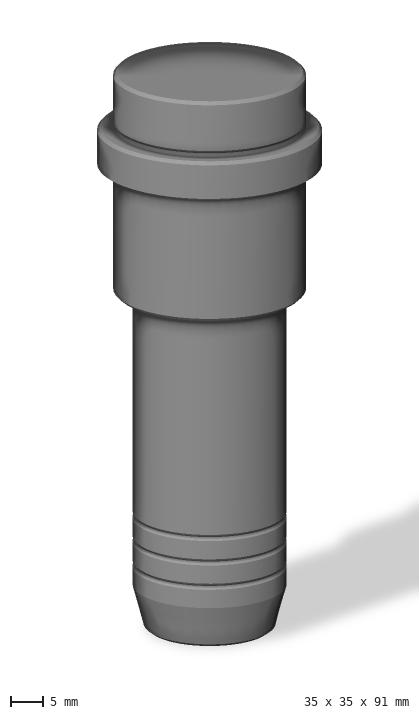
import cadquery as cq
import math

total_height = 91.0
collar_diameter = 35.0
collar_radius = collar_diameter / 2
body_radius = 15.0
shank_radius = 12.0
neck_radius = 11.5

collar_top = 82.0
collar_bottom = 76.0
body_bottom = 55.0
shank_top = 54.1
taper_top = 7.0

edge_chamfer = 0.5
groove_width = 1.0
groove_depth = 0.5
shank_groove_tops = (19.0, 15.0, 11.0)
tip_taper_angle = 15.0


def cylinder(radius, bottom, top):
    """Vertical cylinder between two heights."""
    return cq.Workplane("XY").workplane(offset=bottom).circle(radius).extrude(top - bottom)


def v_groove(radius, top):
    """Ring with a V section that cuts into a cylinder of the given radius."""
    middle = top - groove_width / 2
    profile = [
        (radius, top),
        (radius - groove_depth, middle),
        (radius, top - groove_width),
    ]
    return cq.Workplane("XZ").polyline(profile).close().revolve(360, (0, 0), (0, 1))


head = cylinder(body_radius, body_bottom, total_height).faces("<Z or >Z").chamfer(edge_chamfer)
head = head.cut(v_groove(body_radius, collar_top + groove_width))
head = head.cut(v_groove(body_radius, collar_bottom))

collar = cylinder(collar_radius, collar_bottom, collar_top).faces(">Z").chamfer(edge_chamfer)

shank = cylinder(shank_radius, taper_top, shank_top)
for groove_top in shank_groove_tops:
    shank = shank.cut(v_groove(shank_radius, groove_top))
neck = cylinder(neck_radius, shank_top, body_bottom)

tip_radius = shank_radius - taper_top * math.tan(math.radians(tip_taper_angle))
tip = (
    cq.Workplane("XY")
    .circle(tip_radius)
    .workplane(offset=taper_top)
    .circle(shank_radius)
    .loft(ruled=True)
    .faces("<Z")
    .chamfer(edge_chamfer)
)

result = head.union(collar).union(neck).union(shank).union(tip)